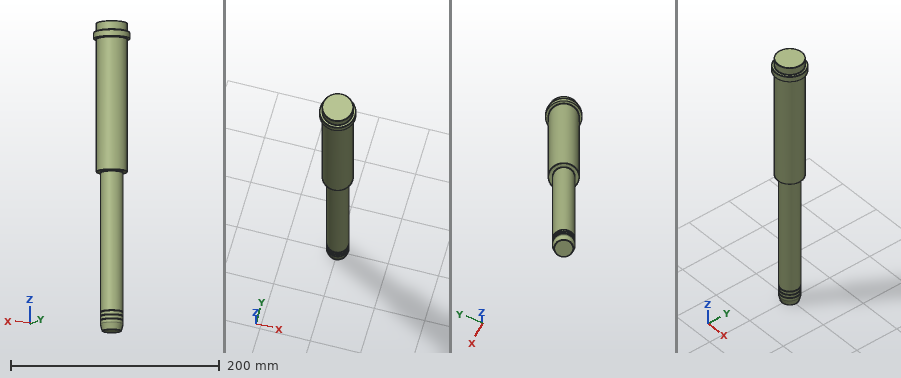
import cadquery as cq
import math

total_length = 300.0

flange_diameter = 35.0
body_diameter = 30.0
rod_diameter = 22.0

head_length = 9.0
flange_thickness = 6.0
flange_top_z = total_length - head_length
flange_bottom_z = flange_top_z - flange_thickness
body_bottom_z = 155.0

edge_chamfer = 0.5

tip_length = 7.0
tip_taper_angle = 14.0
tip_end_radius = rod_diameter / 2 - tip_length * math.tan(math.radians(tip_taper_angle))

groove_width = 1.0
groove_depth = 0.5
tip_groove_count = 3
tip_groove_pitch = 4.0


def cylinder(diameter, bottom_z, top_z):
    """Solid cylinder on the Z axis between two heights."""
    return cq.Workplane("XY").workplane(offset=bottom_z).circle(diameter / 2).extrude(top_z - bottom_z)


def cut_v_groove(shaft, diameter, bottom_z):
    """Cut a V-shaped ring groove, starting at bottom_z, into a shaft of the given diameter."""
    radius = diameter / 2
    v_profile = [
        (radius, bottom_z),
        (radius - groove_depth, bottom_z + groove_width / 2),
        (radius, bottom_z + groove_width),
    ]
    groove = cq.Workplane("XZ").polyline(v_profile).close().revolve(360, (0, 0), (0, 1))
    return shaft.cut(groove)


def make_tip():
    """Cone narrowing downward from the rod diameter to a chamfered flat end."""
    cone = (
        cq.Workplane("XY")
        .circle(tip_end_radius)
        .workplane(offset=tip_length)
        .circle(rod_diameter / 2)
        .loft(ruled=True)
    )
    return cone.faces("<Z").edges().chamfer(edge_chamfer)


def make_rod():
    """Slim lower rod with the tip, its ring grooves and a relief just below the body."""
    rod = cylinder(rod_diameter, tip_length, body_bottom_z).union(make_tip())
    for groove_number in range(1, tip_groove_count + 1):
        groove_top_z = tip_length + groove_number * tip_groove_pitch
        rod = cut_v_groove(rod, rod_diameter, groove_top_z - groove_width)
    return cut_v_groove(rod, rod_diameter, body_bottom_z - groove_width)


def make_body():
    """Thick upper shaft, chamfered at both ends, with a relief on each side of the flange."""
    body = cylinder(body_diameter, body_bottom_z, total_length)
    body = body.faces("<Z or >Z").edges().chamfer(edge_chamfer)
    for relief_bottom_z in (flange_bottom_z - groove_width, flange_top_z):
        body = cut_v_groove(body, body_diameter, relief_bottom_z)
    return body


def make_flange():
    """Collar near the top, chamfered on its upper rim."""
    flange = cylinder(flange_diameter, flange_bottom_z, flange_top_z)
    return flange.faces(">Z").edges().chamfer(edge_chamfer)


result = make_rod().union(make_body()).union(make_flange())